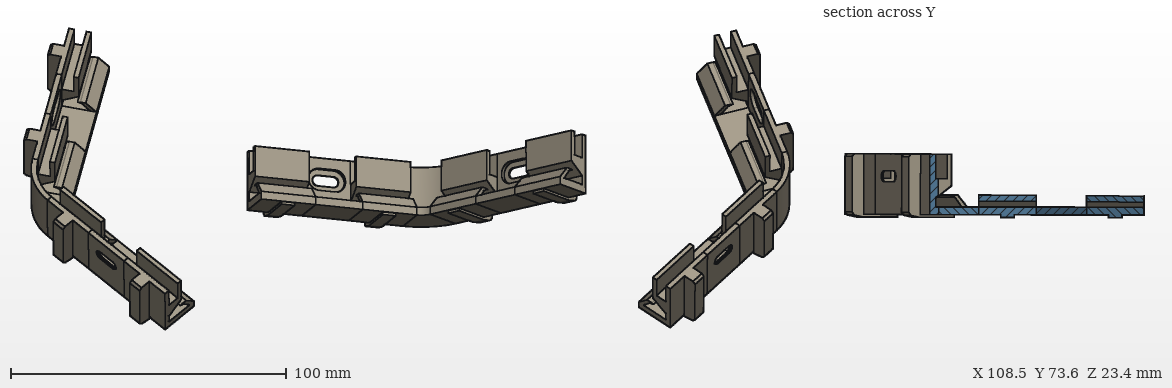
import cadquery as cq


BEND_ANGLE = 58.0
CLIP_LENGTH = 20.9
MIDDLE_LENGTH = 18.1
ARM_LENGTH = 2 * CLIP_LENGTH + MIDDLE_LENGTH

DEPTH = 15.0
HEIGHT = 22.0
WALL = 2.1
FLOOR = 2.9
INNER_BEND_RADIUS = 5.0
OUTER_BEND_RADIUS = INNER_BEND_RADIUS + DEPTH

GROOVE_WIDTH = 4.5
GROOVE_BOTTOM = 13.1
FENCE_INNER = WALL + GROOVE_WIDTH
FENCE_OUTER = 8.4
FENCE_BOTTOM = 10.5
OVERHANG_ROOT = 6.3

HOOK_HEIGHT = 7.3
HOOK_TIP_OUTER = 11.0
HOOK_TIP_INNER = 8.9
HOOK_NOSE_INNER = 7.9
HOOK_NOSE_HEIGHT = 7.0
HOOK_NECK_INNER = 9.8
HOOK_NECK_HEIGHT = 6.4
HOOK_ROOT_INNER = 12.6

RIB_WIDTH = 5.0
RIB_REACH = 5.0
RIB_DROP = 1.0
RIB_CHAMFER = 1.0
RIB_TOE_HEIGHT = 0.9
RIB_TOE_DROP = 0.2
RIB_FOOT_LENGTH = 14.4

SLOT_LENGTH = 10.0
SLOT_HEIGHT = 4.0
SLOT_CENTER_HEIGHT = 13.9
SLOT_RIM = 0.5
RECESS_MARGIN = 2.2

SKEW_X = 0.2
SKEW_Y = 0.1
SKEW_Z = -0.25

PLAIN_OUTLINE = [(0, 0), (DEPTH, 0), (DEPTH, FLOOR), (WALL, FLOOR), (WALL, HEIGHT), (0, HEIGHT)]


def extrude_along_arm(outline, start, length):
    """Extrude a (Y, Z) outline along X from the given start."""
    return cq.Workplane("YZ", origin=(start, 0, 0)).polyline(outline).close().extrude(length)


def clip_section(start):
    """Wall with an upper groove, an overhanging fence and a hooked floor."""
    outline = [
        (0, 0),
        (DEPTH, 0),
        (DEPTH, FLOOR),
        (HOOK_TIP_OUTER, HOOK_HEIGHT),
        (HOOK_TIP_INNER, HOOK_HEIGHT),
        (HOOK_NOSE_INNER, HOOK_NOSE_HEIGHT),
        (HOOK_NECK_INNER, HOOK_NECK_HEIGHT),
        (HOOK_ROOT_INNER, FLOOR),
        (WALL, FLOOR),
        (WALL, OVERHANG_ROOT),
        (FENCE_OUTER, FENCE_BOTTOM),
        (FENCE_OUTER, HEIGHT),
        (FENCE_INNER, HEIGHT),
        (FENCE_INNER, GROOVE_BOTTOM),
        (WALL, GROOVE_BOTTOM),
        (WALL, HEIGHT),
        (0, HEIGHT),
    ]
    return extrude_along_arm(outline, start, CLIP_LENGTH)


def rib(center):
    """Chamfered outer rib whose foot runs under the floor."""
    outline = [
        (0, HEIGHT),
        (RIB_CHAMFER - RIB_REACH, HEIGHT),
        (-RIB_REACH, HEIGHT - RIB_CHAMFER),
        (-RIB_REACH, RIB_TOE_HEIGHT),
        (RIB_CHAMFER - RIB_REACH, -RIB_TOE_DROP),
        (0, -RIB_DROP),
        (RIB_FOOT_LENGTH, -RIB_DROP),
        (RIB_FOOT_LENGTH, 0),
        (0, 0),
    ]
    return extrude_along_arm(outline, center - RIB_WIDTH / 2, RIB_WIDTH)


def clip_body(start):
    """Clip section with its rib at mid-length."""
    return clip_section(start).union(rib(start + CLIP_LENGTH / 2))


def wall_slot(center, outer_face, length, height):
    """Cutter for a rounded slot from the given depth through the inner wall face."""
    return (
        cq.Workplane("XZ", origin=(center, outer_face, SLOT_CENTER_HEIGHT))
        .slot2D(length, height)
        .extrude(outer_face - WALL)
    )


def middle_body(start):
    """Plain L-section with a recessed screw slot through the wall."""
    center = start + MIDDLE_LENGTH / 2
    slot = wall_slot(center, 0, SLOT_LENGTH, SLOT_HEIGHT)
    recess = wall_slot(center, SLOT_RIM, SLOT_LENGTH + 2 * RECESS_MARGIN, SLOT_HEIGHT + 2 * RECESS_MARGIN)
    return extrude_along_arm(PLAIN_OUTLINE, start, MIDDLE_LENGTH).cut(slot).cut(recess)


def bend_body():
    """The plain L-section swept around the bend."""
    axis_start = (OUTER_BEND_RADIUS, 0)
    axis_end = (OUTER_BEND_RADIUS, -1)
    return cq.Workplane("YZ").polyline(PLAIN_OUTLINE).close().revolve(BEND_ANGLE, axis_start, axis_end)


def turn_around_bend(body):
    """Swing a body from the straight arm line onto the far side of the bend."""
    axis_start = (0, OUTER_BEND_RADIUS, 0)
    axis_end = (0, OUTER_BEND_RADIUS, 1)
    return body.rotate(axis_start, axis_end, -BEND_ANGLE)


def skew(body):
    """Tilt a body with the rest of the assembly."""
    origin = (0, 0, 0)
    return (
        body.rotate(origin, (1, 0, 0), SKEW_X)
        .rotate(origin, (0, 1, 0), SKEW_Y)
        .rotate(origin, (0, 0, 1), SKEW_Z)
    )


clip_starts = [0, ARM_LENGTH - CLIP_LENGTH]
right_clips = [clip_body(start) for start in clip_starts]
left_clips = [turn_around_bend(clip_body(start - ARM_LENGTH)) for start in clip_starts]
right_middle = middle_body(CLIP_LENGTH)
left_middle = turn_around_bend(middle_body(CLIP_LENGTH - ARM_LENGTH))
bend = bend_body()

bodies = [*right_clips, right_middle, bend, left_middle, *left_clips]
result = cq.Compound.makeCompound([skew(body).val() for body in bodies])